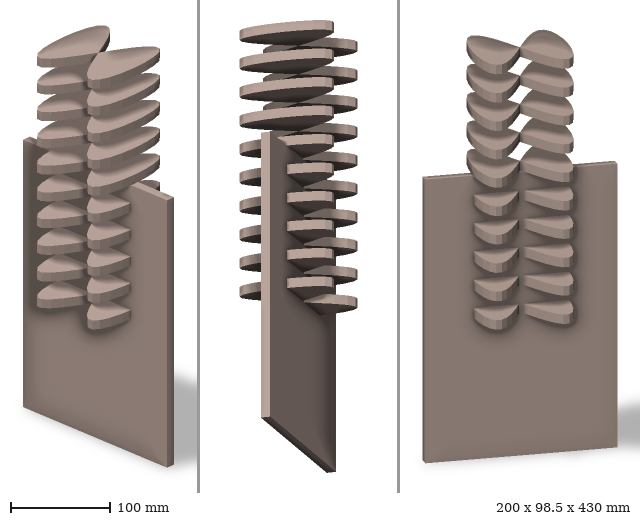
import cadquery as cq
import math

plate_width = 200.0
plate_thickness = 10.0
plate_height = 300.0

slice_count = 10
slice_thickness = 10.0
slice_pitch = 30.0
first_slice_z = plate_height / 2

curve_amplitude = 50.0
lobe_facets = 18
facet_angle = math.pi / lobe_facets


def curve_point(angle):
    """Point of the figure-eight curve at the given parameter angle."""
    return (
        curve_amplitude * math.sin(angle),
        curve_amplitude * math.sin(2 * angle),
    )


def make_lobe(start_angle, base_z):
    """One leaf-shaped lobe: half of the figure eight, starting at its crossing."""
    points = [curve_point(start_angle + i * facet_angle) for i in range(1, lobe_facets)]
    return (
        cq.Workplane("XY", origin=(0, 0, base_z))
        .polyline([(0, 0)] + points)
        .close()
        .extrude(slice_thickness)
    )


def make_plate():
    """Plain rectangular upright plate."""
    return cq.Workplane("XY").box(
        plate_width, plate_thickness, plate_height, centered=(True, True, False)
    )


finned_plate = make_plate()
free_lobes = []
for level in range(slice_count):
    slice_z = first_slice_z + level * slice_pitch
    for lobe_start in (0, math.pi):
        lobe = make_lobe(lobe_start, slice_z)
        if slice_z <= plate_height:
            finned_plate = finned_plate.union(lobe)
        else:
            free_lobes.append(lobe)

result = cq.Compound.makeCompound(
    [finned_plate.solids().val(), *[lobe.val() for lobe in free_lobes]]
)